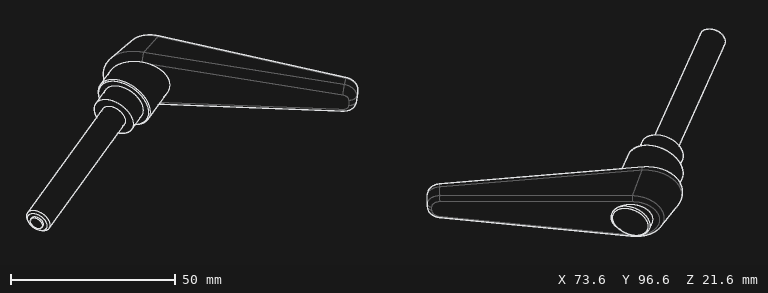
import cadquery as cq
import math


base_radius = 13.2
draft = 11.0
flank_angle = 1.3
lower_height = 9.9
lower_slope = 20.0
upper_height = 23.2
upper_slope = 14.4
tip_reach = 62.7
tip_corner_radius = 4.2
lower_edge_radius = 2.1
upper_edge_radius = 1.5

hub_radius = 9.0
hub_chamfer = 0.4

cap_radius = 6.2
cap_top = 24.8
cap_chamfer = 0.5
collar_radius = 6.8
collar_length = 6.5
rod_radius = 4.1
rod_end = 56.5
rod_chamfer = 0.7
tip_radius = 2.1
tip_length = 1.7
tip_dome_height = 1.2

blank_height = 43.55
blank_reach = 87.1
head_margin = 19.4


def drafted_blank():
    """Round-headed wedge, narrowing upward by the draft angle."""
    angle = math.radians(flank_angle)
    tangent_x = base_radius * math.sin(angle)
    tangent_z = base_radius * math.cos(angle)
    end_z = tangent_z - (blank_reach - tangent_x) * math.tan(angle)
    return (
        cq.Workplane("ZX")
        .moveTo(-tangent_z, tangent_x)
        .threePointArc((0, -base_radius), (tangent_z, tangent_x))
        .lineTo(end_z, blank_reach)
        .lineTo(-end_z, blank_reach)
        .close()
        .extrude(blank_height, taper=draft)
    )


def side_profile():
    """Prism between the sloping lower and upper faces, cut square to the lower face at the tip."""
    lower = math.tan(math.radians(lower_slope))
    upper = math.tan(math.radians(upper_slope))
    tip_y = lower_height + tip_reach * lower
    tip_top_x = (tip_reach + lower * (tip_y - upper_height)) / (1 + lower * upper)
    return (
        cq.Workplane("XY")
        .moveTo(-head_margin, lower_height - head_margin * lower)
        .lineTo(tip_reach, tip_y)
        .lineTo(tip_top_x, upper_height + tip_top_x * upper)
        .lineTo(-head_margin, upper_height - head_margin * upper)
        .close()
        .extrude(base_radius, both=True)
    )


def face_direction(slope):
    """Upward normal of a face rising along X at the given slope."""
    angle = math.radians(slope)
    return cq.Vector(-math.sin(angle), math.cos(angle), 0)


def make_arm():
    arm = drafted_blank().intersect(side_profile())
    tip_direction = cq.Vector(1, math.tan(math.radians(lower_slope)), 0)
    tip_face = arm.faces(cq.selectors.DirectionMinMaxSelector(tip_direction, True))
    arm = tip_face.edges("not |Z").fillet(tip_corner_radius)
    upper = cq.selectors.DirectionSelector(face_direction(upper_slope), 0.001)
    lower = cq.selectors.DirectionSelector(face_direction(lower_slope) * -1, 0.001)
    arm = arm.faces(upper).edges().fillet(upper_edge_radius)
    return arm.faces(lower).edges().fillet(lower_edge_radius)


def cylinder(radius, bottom, top):
    """Cylinder on the spindle axis between two heights."""
    return cq.Workplane("XZ", origin=(0, bottom, 0)).circle(radius).extrude(bottom - top)


def make_lever():
    hub_top = (lower_height + upper_height) / 2
    hub = cylinder(hub_radius, 0, hub_top).faces("<Y").chamfer(hub_chamfer)
    return make_arm().union(hub).cut(cylinder(cap_radius, 0, blank_height))


def make_spindle():
    cap = cylinder(cap_radius, 0, cap_top).faces(">Y").chamfer(cap_chamfer)
    collar = cylinder(collar_radius, -collar_length, 0)
    rod = cylinder(rod_radius, -rod_end, -collar_length).faces("<Y").chamfer(rod_chamfer)
    dome_start = -rod_end - tip_length + tip_dome_height
    tip = (
        cq.Workplane("XY")
        .moveTo(0, -rod_end)
        .lineTo(tip_radius, -rod_end)
        .lineTo(tip_radius, dome_start)
        .threePointArc(dome_midpoint(dome_start), (0, dome_start - tip_dome_height))
        .close()
        .revolve(360, (0, 0, 0), (0, 1, 0))
    )
    return cap.union(collar).union(rod).union(tip)


def dome_midpoint(dome_start):
    """Point halfway along the dome's arc, from its rim to its apex."""
    sphere_radius = (tip_radius**2 + tip_dome_height**2) / (2 * tip_dome_height)
    half_angle = math.asin(tip_radius / sphere_radius) / 2
    center_y = dome_start - tip_dome_height + sphere_radius
    return (sphere_radius * math.sin(half_angle), center_y - sphere_radius * math.cos(half_angle))


lever = make_lever()
spindle = make_spindle()
result = cq.Compound.makeCompound([lever.val(), spindle.val()])